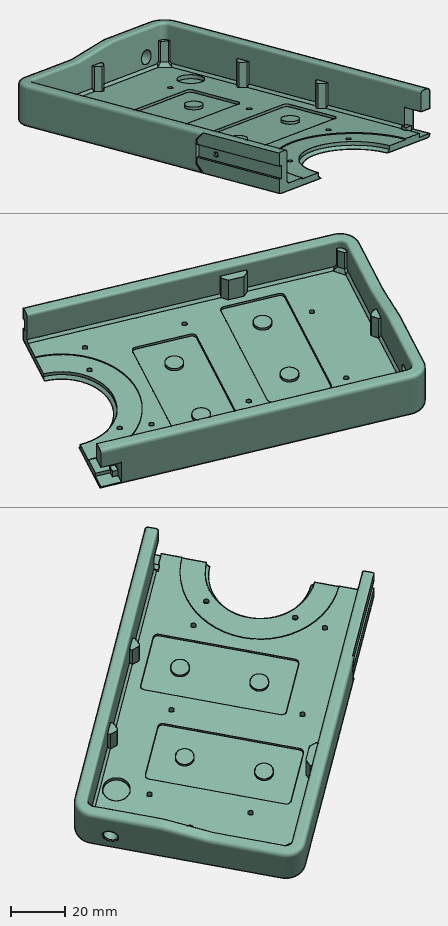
import cadquery as cq

tolerance = 0.01
overlap = 1.3

length = 129.2
width = 87.2
high_side = 19.3
low_side = 16.3
corner_radius = 7.5
outer_round = 1.5
half_width = width / 2

slope_half_span = 9.4
slope_blend_radius = 20.0

wall = 5.0
floor = 3.0
rim_round = 1.0
floor_chamfer = 1.0
inner_half_width = half_width - wall

pocket_size = (25.1, 55.0)
pocket_depth = 1.0
pocket_corner = 1.8
pocket_centers = [(43.5, -5.0), (81.7, 5.0)]
pad_diameter = 7.0
pad_spacing = 30.0

recess_diameter = 10.2
recess_depth = 1.5
recess_center = (24.0, 31.5)

opening_radius = 19.1
lip_width = 1.3
lip_height = 1.2
seat_radius = 29.7
seat_depth = 0.4

screw_diameter = 2.0
screw_centers = [
    (24.5, 19.1),
    (24.5, -19.1),
    (62.7, 19.1),
    (100.8, 19.1),
    (71.1, -28.5),
    (110.1, -28.5),
    (112.5, 16.8),
    (112.5, -16.8),
]

post_top = 12.8
post_reach = 3.1
post_foot = 1.0
corner_flare = 1.7
side_post_half = 2.6
wide_post_half = 5.2
wide_post_x = 48.5

cable_diameter = 5.5
cable_chamfer = 0.4
cable_y = 28.5
cable_z = 8.1

clip_start = 89.5
clip_corner = 3.4
clip_depth = 0.6
groove_bottom = 5.8
groove_top = 10.9
groove_depth = 1.2
clip_hole_x = 97.7
clip_hole_diameter = 2.0
clip_hole_depth = 2.6

notch_length = 8.0
notch_bottom = 1.4
notch_top = 11.1
stop_length = 2.2
stop_reach = 1.7
stop_height = 1.2


def rounded_end_block(inset, bottom, top):
    """Block reaching the open end, with both corners of its closed end rounded."""
    size_x = length - inset
    return (
        cq.Workplane("XY", origin=(inset + size_x / 2, 0, bottom))
        .rect(size_x, width - 2 * inset)
        .extrude(top - bottom)
        .edges("|Z and <X")
        .fillet(corner_radius - inset)
    )


def rim_profile():
    """Side outline in YZ with the sloped step blended by arcs, extruded along X."""
    prism = (
        cq.Workplane("YZ")
        .moveTo(-half_width, 0)
        .lineTo(half_width, 0)
        .lineTo(half_width, high_side)
        .lineTo(slope_half_span, high_side)
        .lineTo(-slope_half_span, low_side)
        .lineTo(-half_width, low_side)
        .close()
        .extrude(length)
    )
    bends = cq.selectors.BoxSelector(
        (0, -slope_half_span - tolerance, low_side - tolerance),
        (length, slope_half_span + tolerance, high_side + tolerance),
    )
    return prism.edges("|X").edges(bends).fillet(slope_blend_radius)


def rim_edges(body, inset):
    """Top edges of the body that follow the outline at the given inset."""

    def follows_outline(edge):
        box = edge.BoundingBox()
        reach = max(abs(box.ymin), abs(box.ymax))
        above = box.zmin > low_side - outer_round
        on_side = abs(reach - (half_width - inset)) < tolerance and box.xmin < length - tolerance
        on_end = abs(box.xmin - inset) < tolerance and box.xmax < inset + tolerance
        return above and (on_side or on_end)

    return body.newObject([e for e in body.edges().vals() if follows_outline(e)])


def shell():
    """Rounded tray with a bevelled floor edge inside, before any details."""
    body = rounded_end_block(0, 0, high_side).intersect(rim_profile())
    body = rim_edges(body, 0).fillet(outer_round)
    body = body.faces("<Z").edges("not(>X)").fillet(outer_round)
    cavity = rounded_end_block(wall, floor, high_side + overlap)
    cavity = cavity.faces("<Z").edges("not(>X)").chamfer(floor_chamfer)
    body = body.cut(cavity)
    return rim_edges(body, wall).fillet(rim_round)


def cylinder(x, y, diameter, bottom, top):
    return cq.Workplane("XY", origin=(x, y, bottom)).circle(diameter / 2).extrude(top - bottom)


def cut_pockets(body):
    """Sink the rectangular pockets, leaving the round pads at floor level."""
    bottom = floor - pocket_depth
    for x, y in pocket_centers:
        pocket = (
            cq.Workplane("XY", origin=(x, y, bottom))
            .rect(*pocket_size)
            .extrude(pocket_depth)
            .edges("|Z")
            .fillet(pocket_corner)
        )
        for side in (-1, 1):
            pad_y = y + side * pad_spacing / 2
            pocket = pocket.cut(cylinder(x, pad_y, pad_diameter, bottom, floor))
        body = body.cut(pocket)
    return body


def cut_opening(body):
    """Half-round opening with a shallow seat around it and a sloped lip at its lower edge."""
    seat_level = floor - seat_depth
    lip_radius = opening_radius + lip_width
    body = body.cut(cylinder(length, 0, 2 * seat_radius, seat_level, floor))
    body = body.cut(cylinder(length, 0, 2 * lip_radius, lip_height, seat_level))
    lip_cone = (
        cq.Workplane("XY", origin=(length, 0, 0))
        .circle(opening_radius)
        .workplane(offset=lip_height)
        .circle(lip_radius)
        .loft()
    )
    return body.cut(lip_cone)


def cut_floor_holes(body):
    x, y = recess_center
    body = body.cut(cylinder(x, y, recess_diameter, floor - recess_depth, floor))
    for x, y in screw_centers:
        body = body.cut(cylinder(x, y, screw_diameter, 0, floor))
    return body


def cut_cable_hole(body):
    """Hole through the closed end with a narrow chamfer at its outer edge."""
    cable_radius = cable_diameter / 2
    start = cq.Workplane("YZ", origin=(0, cable_y, cable_z))
    bore = start.circle(cable_radius).extrude(wall)
    bevel = (
        start.circle(cable_radius + cable_chamfer)
        .workplane(offset=cable_chamfer)
        .circle(cable_radius)
        .loft()
    )
    return body.cut(bore).cut(bevel)


def wall_post(x, y, turn, half_base):
    """Post with 45 degree flanks, standing on a wall at (x, y); with no turn it reaches +Y."""
    half_tip = half_base - (post_reach - post_foot)
    return (
        cq.Workplane("XY", origin=(0, 0, floor))
        .polyline(
            [
                (-half_base, -overlap),
                (half_base, -overlap),
                (half_base, post_foot),
                (half_tip, post_reach),
                (-half_tip, post_reach),
                (-half_base, post_foot),
            ]
        )
        .close()
        .extrude(post_top - floor)
        .rotate((0, 0, 0), (0, 0, 1), turn)
        .translate((x, y, 0))
    )


def corner_outline(side, reach):
    """Square with its free corner cut at 45 degrees, set into a cavity corner."""
    x = wall
    y = side * inner_half_width
    return [
        (x - overlap, y + side * overlap),
        (x + reach, y + side * overlap),
        (x + reach, y - side * post_foot),
        (x + post_foot, y - side * reach),
        (x - overlap, y - side * reach),
    ]


def corner_post(side):
    """Post filling a closed-end corner, with a flared foot on the floor."""
    start = cq.Workplane("XY", origin=(0, 0, floor))
    column = start.polyline(corner_outline(side, post_reach)).close().extrude(post_top - floor)
    foot = (
        start.polyline(corner_outline(side, post_reach + corner_flare))
        .close()
        .workplane(offset=corner_flare)
        .polyline(corner_outline(side, post_reach))
        .close()
        .loft(ruled=True)
    )
    return column.union(foot)


def add_posts(body):
    for x, _ in pocket_centers:
        body = body.union(wall_post(x, inner_half_width, 180, side_post_half))
    body = body.union(wall_post(wide_post_x, -inner_half_width, 0, wide_post_half))
    body = body.union(wall_post(wall, 0, -90, side_post_half))
    for side in (-1, 1):
        body = body.union(corner_post(side))
    return body


def cut_clip_recess(body):
    """Shallow recess outside the low wall, with a lengthwise groove and a small blind hole."""
    face = cq.Workplane("XZ", origin=(0, -half_width, 0))
    recess = (
        face.moveTo(length, 0)
        .lineTo(length, low_side)
        .lineTo(clip_start + clip_corner, low_side)
        .lineTo(clip_start, low_side - clip_corner)
        .lineTo(clip_start, clip_corner)
        .lineTo(clip_start + clip_corner, 0)
        .close()
        .extrude(-clip_depth)
    )
    groove = (
        face.moveTo(clip_start, groove_bottom)
        .lineTo(length, groove_bottom)
        .lineTo(length, groove_top)
        .lineTo(clip_start, groove_top)
        .close()
        .extrude(-clip_depth - groove_depth)
    )
    hole = (
        face.center(clip_hole_x, (groove_bottom + groove_top) / 2)
        .circle(clip_hole_diameter / 2)
        .extrude(-clip_hole_depth)
    )
    return body.cut(recess).cut(groove).cut(hole)


def range_box(x_range, y_range, z_range):
    """Axis-aligned box spanning the given ranges."""
    sizes = [high - low for low, high in (x_range, y_range, z_range)]
    low_corner = (x_range[0], y_range[0], z_range[0])
    return cq.Workplane("XY", origin=low_corner).box(*sizes, centered=False)


def cut_wall_notch(body):
    """Notch through the open end of the high wall, and the stop block at its inner end."""
    notch_start = length - notch_length
    notch = range_box(
        (notch_start, length),
        (inner_half_width - floor_chamfer, half_width),
        (notch_bottom, notch_top),
    )
    stop = range_box(
        (notch_start, notch_start + stop_length),
        (inner_half_width - stop_reach, inner_half_width + overlap),
        (notch_bottom, floor + stop_height),
    )
    return body.cut(notch).union(stop)


result = shell()
result = cut_pockets(result)
result = cut_opening(result)
result = cut_floor_holes(result)
result = cut_cable_hole(result)
result = add_posts(result)
result = cut_clip_recess(result)
result = cut_wall_notch(result)